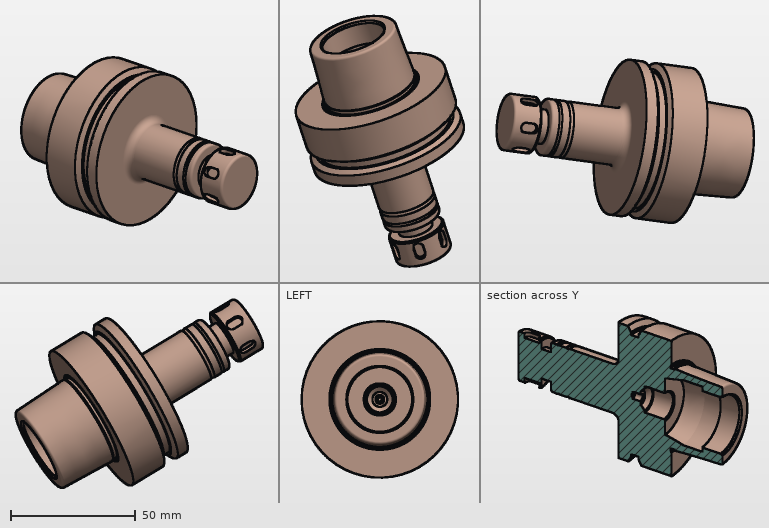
import cadquery as cq
import math

length = 100.0
flange_start = 25.0
flange_end = 51.0
nose_end = 84.0
nut_start = 88.4

shank_tip_radius = 18.1
shank_end_radius = 19.1
shank_end = 23.2
shank_tip_fillet = 1.0
relief_radius = 18.7
relief_start = 23.7
face_recess_radius = 20.3
face_recess_floor_radius = 19.5
face_recess_depth = 0.3

flange_radius = 63.0 / 2
groove_floor_radius = 27.8
groove_start = 39.8
groove_end = 46.2
groove_chamfer_length = 1.5
groove_chamfer_angle = 60.0
groove_chamfer_height = groove_chamfer_length * math.tan(math.radians(groove_chamfer_angle))

nose_radius = 23.0 / 2
nose_root_fillet = 3.0
nose_tip_fillet = 1.0
neck_radius = 14.0 / 2
nut_radius = nose_radius
nut_back_chamfer = 0.6
nut_front_fillet = 1.1
ring_grooves = [(75.6, 1.6), (80.4, 1.2)]
ring_groove_depth = 0.3

slot_count = 6
slot_length = 7.0
slot_width = 4.0
slot_centre = 93.3
slot_floor_radius = 9.4

bore_radius = 26.0 / 2
bore_depth = 28.0
bore_chamfer_length = 0.9
bore_chamfer_depth = 0.5
clamp_recess_radius = 30.0 / 2
clamp_recess_start = 10.0
clamp_recess_end = 19.2
port_radius = 12.0 / 2
port_depth = 10.0
port_chamfer = 0.5
cone_start_radius = 5.2
cone_end_radius = 6.0 / 2
cone_length = 2.0
pilot_radius = 3.0 / 2
pilot_depth = 4.0
pilot_chamfer = 0.25
drill_radius = 1.7 / 2
drill_tip_length = 0.5


def revolve_about_x(profile):
    """Revolve a closed XY profile a full turn about the X axis."""
    return profile.close().revolve(360, (0, 0, 0), (1, 0, 0))


def make_body():
    """Solid of revolution: shank, flange, nose, neck and nut."""
    groove_chamfer_radius = flange_radius - groove_chamfer_height
    root_centre_radius = nose_radius + nose_root_fillet
    root_mid = nose_root_fillet * math.sin(math.radians(45))
    profile = (
        cq.Workplane("XY")
        .lineTo(0, shank_tip_radius)
        .lineTo(shank_end, shank_end_radius)
        .lineTo(relief_start, relief_radius)
        .lineTo(flange_start + face_recess_depth, relief_radius)
        .lineTo(flange_start + face_recess_depth, face_recess_floor_radius)
        .lineTo(flange_start, face_recess_radius)
        .lineTo(flange_start, flange_radius)
        .lineTo(groove_start, flange_radius)
        .lineTo(groove_start + groove_chamfer_length, groove_chamfer_radius)
        .lineTo(groove_start + groove_chamfer_length, groove_floor_radius)
        .lineTo(groove_end - groove_chamfer_length, groove_floor_radius)
        .lineTo(groove_end - groove_chamfer_length, groove_chamfer_radius)
        .lineTo(groove_end, flange_radius)
        .lineTo(flange_end, flange_radius)
        .lineTo(flange_end, root_centre_radius)
        .threePointArc(
            (flange_end + nose_root_fillet - root_mid, root_centre_radius - root_mid),
            (flange_end + nose_root_fillet, nose_radius),
        )
    )
    for centre, width in ring_grooves:
        profile = profile.lineTo(centre - width / 2, nose_radius).threePointArc(
            (centre, nose_radius - ring_groove_depth), (centre + width / 2, nose_radius)
        )
    profile = (
        profile.lineTo(nose_end - nose_tip_fillet, nose_radius)
        .radiusArc((nose_end, nose_radius - nose_tip_fillet), nose_tip_fillet)
        .lineTo(nose_end, neck_radius)
        .lineTo(nut_start, neck_radius)
        .lineTo(nut_start, nut_radius - nut_back_chamfer)
        .lineTo(nut_start + nut_back_chamfer, nut_radius)
        .lineTo(length - nut_front_fillet, nut_radius)
        .radiusArc((length, nut_radius - nut_front_fillet), nut_front_fillet)
        .lineTo(length, 0)
    )
    return revolve_about_x(profile).faces("<X").edges().fillet(shank_tip_fillet)


def make_bore():
    """Stepped bore, port, cone and pilot hole opening at the shank tip."""
    port_floor = bore_depth + port_depth
    cone_floor = port_floor + cone_length
    pilot_floor = cone_floor + pilot_depth
    return revolve_about_x(
        cq.Workplane("XY")
        .lineTo(0, bore_radius + bore_chamfer_depth)
        .lineTo(bore_chamfer_length, bore_radius)
        .lineTo(clamp_recess_start, bore_radius)
        .lineTo(clamp_recess_start, clamp_recess_radius)
        .lineTo(clamp_recess_end, clamp_recess_radius)
        .lineTo(bore_depth, bore_radius)
        .lineTo(bore_depth, port_radius + port_chamfer)
        .lineTo(bore_depth + port_chamfer, port_radius)
        .lineTo(port_floor, port_radius)
        .lineTo(port_floor, cone_start_radius)
        .lineTo(cone_floor, cone_end_radius)
        .lineTo(cone_floor, pilot_radius + pilot_chamfer)
        .lineTo(cone_floor + pilot_chamfer, pilot_radius)
        .lineTo(pilot_floor, pilot_radius)
        .lineTo(pilot_floor, drill_radius)
        .lineTo(pilot_floor + drill_tip_length, 0)
    )


def make_wrench_slots():
    """Flat-bottomed slots spaced evenly around the nut, the first facing +Z."""
    slot = (
        cq.Workplane("XY", origin=(slot_centre, 0, slot_floor_radius))
        .slot2D(slot_length, slot_width)
        .extrude(nut_radius)
    )
    slots = cq.Workplane("XY")
    for index in range(slot_count):
        slots = slots.add(slot.rotate((0, 0, 0), (1, 0, 0), index * 360 / slot_count))
    return slots.combine()


result = make_body().cut(make_bore()).cut(make_wrench_slots())